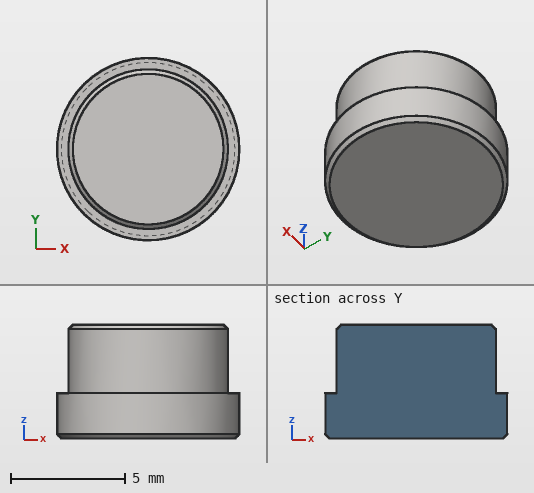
import cadquery as cq

flange_diameter = 8.0
flange_height = 2.0
boss_diameter = 7.0
total_height = 5.0
chamfer_size = 0.2

boss_height = total_height - flange_height


def make_flange():
    """Base disc with its bottom rim chamfered."""
    disc = cq.Workplane("XY").circle(flange_diameter / 2).extrude(flange_height)
    return disc.faces("<Z").edges().chamfer(chamfer_size)


def make_boss():
    """Narrower cylinder on top of the flange with its top rim chamfered."""
    cylinder = (
        cq.Workplane("XY")
        .workplane(offset=flange_height)
        .circle(boss_diameter / 2)
        .extrude(boss_height)
    )
    return cylinder.faces(">Z").edges().chamfer(chamfer_size)


result = make_flange().union(make_boss())